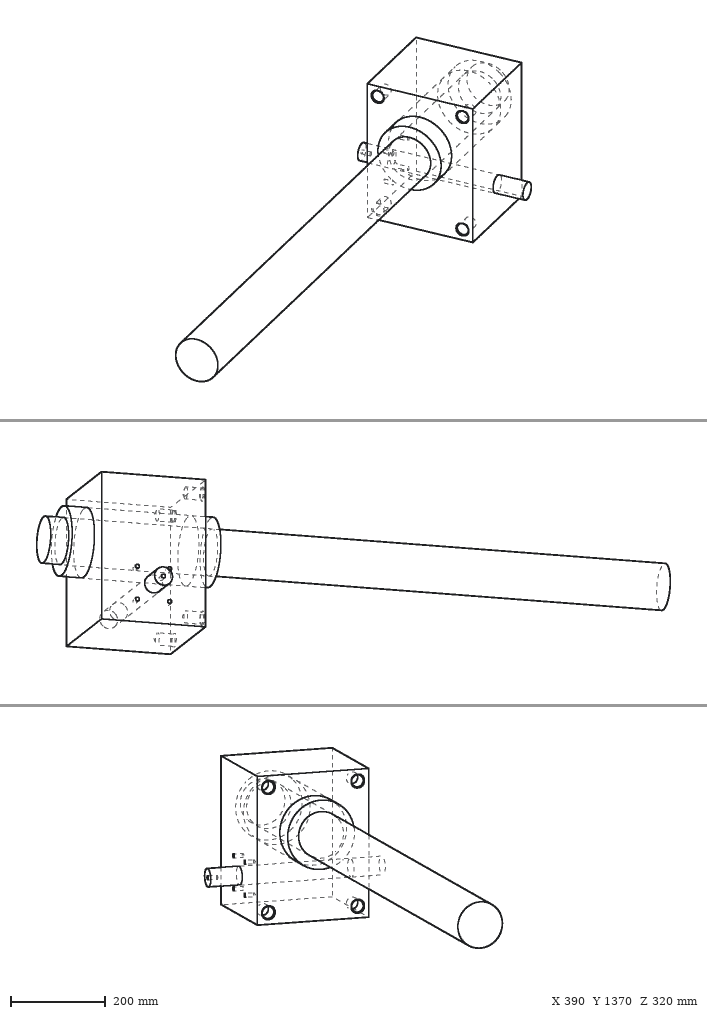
import cadquery as cq
import math

DRILL_POINT_ANGLE = 120

HOUSING_WIDTH = 250.0
HOUSING_DEPTH = 230.0
HOUSING_HEIGHT = 320.0
SPINDLE_BELOW_TOP = 125.0
HOUSING_TOP = SPINDLE_BELOW_TOP
HOUSING_BOTTOM = HOUSING_TOP - HOUSING_HEIGHT
HOUSING_MIDDLE = (HOUSING_TOP + HOUSING_BOTTOM) / 2
FRONT_FACE = -HOUSING_DEPTH / 2
LEFT_FACE = -HOUSING_WIDTH / 2

CORNER_HOLE_DIAMETER = 26.0
CORNER_MOUTH_DIAMETER = 30.0
CORNER_HOLE_DEPTH = 37.0
CORNER_SPACING_X = 200.0
CORNER_SPACING_Z = 270.0

SLEEVE_DIAMETER = 150.0
SLEEVE_PROJECTION = 50.0
SLEEVE_LENGTH = HOUSING_DEPTH + 2 * SLEEVE_PROJECTION
SLEEVE_BACK = SLEEVE_LENGTH / 2

SPINDLE_DIAMETER = 100.0
SPINDLE_LENGTH = 1370
SPINDLE_BACK_PROJECTION = 40.0
SPINDLE_BACK = SLEEVE_BACK + SPINDLE_BACK_PROJECTION

SHAFT_DIAMETER = 40.0
SHAFT_LENGTH = 390.0
SHAFT_DROP = 111.0
CENTRE_HOLE_DIAMETER = 8.4
CENTRE_HOLE_DEPTH = 20.0

FLANGE_HOLE_DIAMETER = 8.4
FLANGE_HOLE_DEPTH = 20.0
FLANGE_HOLE_SPACING = 71.0


def rod_along_y(diameter, length, back):
    """Round bar on the spindle axis, running from its back end towards -Y."""
    return cq.Workplane("XZ", origin=(0, back, 0)).circle(diameter / 2).extrude(length)


def rod_along_x(diameter, length):
    """Round bar on the drive shaft axis, centred on X = 0."""
    return cq.Workplane("YZ", origin=(0, 0, -SHAFT_DROP)).circle(diameter / 2).extrude(length / 2, both=True)


def drilled_hole(diameter, depth):
    """Cutter for a blind hole with a conical drill point, entering at the origin and running along +Z."""
    radius = diameter / 2
    point_depth = radius / math.tan(math.radians(DRILL_POINT_ANGLE / 2))
    return (
        cq.Workplane("XZ")
        .polyline([(0, 0), (radius, 0), (radius, depth), (0, depth + point_depth)])
        .close()
        .revolve(360, (0, 0), (0, 1))
        .val()
    )


def corner_holes():
    hole = drilled_hole(CORNER_HOLE_DIAMETER, CORNER_HOLE_DEPTH)
    mouth_radius = CORNER_MOUTH_DIAMETER / 2
    hole_radius = CORNER_HOLE_DIAMETER / 2
    mouth = cq.Solid.makeCone(mouth_radius, hole_radius, mouth_radius - hole_radius)
    cutter = hole.fuse(mouth)
    return (
        cq.Workplane("ZX", origin=(0, FRONT_FACE, HOUSING_MIDDLE))
        .rarray(CORNER_SPACING_Z, CORNER_SPACING_X, 2, 2)
        .eachpoint(lambda place: cutter.moved(place), useLocalCoordinates=True)
    )


def flange_holes():
    hole = drilled_hole(FLANGE_HOLE_DIAMETER, FLANGE_HOLE_DEPTH)
    return (
        cq.Workplane("YZ", origin=(LEFT_FACE, 0, -SHAFT_DROP))
        .rarray(FLANGE_HOLE_SPACING, FLANGE_HOLE_SPACING, 2, 2)
        .eachpoint(lambda place: hole.moved(place), useLocalCoordinates=True)
    )


def make_housing():
    block = cq.Workplane("XY").box(HOUSING_WIDTH, HOUSING_DEPTH, HOUSING_HEIGHT)
    block = block.translate((0, 0, HOUSING_MIDDLE))
    block = block.cut(rod_along_y(SLEEVE_DIAMETER, SLEEVE_LENGTH, SLEEVE_BACK))
    block = block.cut(rod_along_x(SHAFT_DIAMETER, SHAFT_LENGTH))
    return block.cut(corner_holes()).cut(flange_holes())


def make_sleeve():
    sleeve = rod_along_y(SLEEVE_DIAMETER, SLEEVE_LENGTH, SLEEVE_BACK)
    return sleeve.cut(rod_along_y(SPINDLE_DIAMETER, SPINDLE_LENGTH, SPINDLE_BACK))


def make_spindle():
    return rod_along_y(SPINDLE_DIAMETER, SPINDLE_LENGTH, SPINDLE_BACK)


def make_shaft():
    shaft = rod_along_x(SHAFT_DIAMETER, SHAFT_LENGTH)
    centre_hole = drilled_hole(CENTRE_HOLE_DIAMETER, CENTRE_HOLE_DEPTH)
    left_end = cq.Workplane("YZ", origin=(-SHAFT_LENGTH / 2, 0, -SHAFT_DROP))
    return shaft.cut(left_end.eachpoint(lambda place: centre_hole.moved(place), useLocalCoordinates=True))


housing = make_housing()
sleeve = make_sleeve()
spindle = make_spindle()
shaft = make_shaft()

result = cq.Compound.makeCompound([housing.val(), sleeve.val(), spindle.val(), shaft.val()])